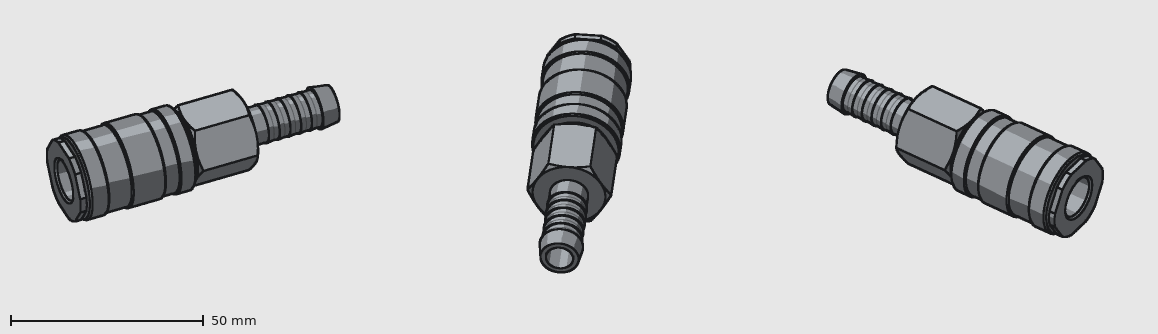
import cadquery as cq
import math

length = 76.0

shank_radius = 5.0
tip_barb_radius = 5.7
tip_barb_length = 4.9
small_barb_radius = 5.25
small_barb_length = 1.5
small_barb_count = 5
small_barb_pitch = 3.05
first_barb_base = 68.1

corner_ratio = 1 / math.cos(math.pi / 6)

nut_across_flats = 19.0
nut_front = 34.0
nut_rear = 51.0
nut_chamfer_angle = 30.0

sleeve_radius = 23.0 / 2
waist_radius = 11.1
bevel_length = sleeve_radius - waist_radius
front_bevel_length = 0.6
sleeve_front = 2.6
sleeve_rear = 32.7
front_band_rear = 8.1
middle_band_front = 14.45
middle_band_rear = 24.2
rear_band_front = 28.0
rear_neck_radius = 8.9
front_neck_radius = 8.0

flange_radius = 11.0
flange_across_flats = 21.0
flange_thickness = 1.75

through_radius = 3.6
socket_radius = 5.55
socket_depth = sleeve_rear
mouth_chamfer = 0.6


def revolve(points):
    """Turn an outline of (radius, y) points about the Y axis."""
    return cq.Workplane("XY").polyline(points).close().revolve(360, (0, 0, 0), (0, 1, 0))


def cylinder(radius, start, end):
    return revolve([(0, start), (radius, start), (radius, end), (0, end)])


def cone(start_radius, end_radius, start, end):
    return revolve([(0, start), (start_radius, start), (end_radius, end), (0, end)])


def hexagon(across_flats, start, end):
    """Hexagonal prism along Y with two flats facing +Z and -Z."""
    return (
        cq.Workplane("XZ", origin=(0, start, 0))
        .polygon(6, across_flats * corner_ratio)
        .extrude(start - end)
    )


def bevelled_band(start, end, start_bevel=bevel_length):
    """Raised band of the sleeve, bevelled down to the waist at both ends."""
    return revolve([
        (0, start),
        (waist_radius, start),
        (sleeve_radius, start + start_bevel),
        (sleeve_radius, end - bevel_length),
        (waist_radius, end),
        (0, end),
    ])


def make_hose_tail():
    tip_barb_base = length - tip_barb_length
    tail = cylinder(shank_radius, nut_rear, tip_barb_base)
    tail = tail.union(cone(tip_barb_radius, shank_radius, tip_barb_base, length))
    for index in range(small_barb_count):
        base = first_barb_base - index * small_barb_pitch
        barb = cone(small_barb_radius, shank_radius, base, base + small_barb_length)
        tail = tail.union(barb)
    return tail


def make_nut():
    face_radius = nut_across_flats / 2
    corner_radius = face_radius * corner_ratio
    chamfer_length = (corner_radius - face_radius) * math.tan(math.radians(nut_chamfer_angle))
    envelope = revolve([
        (0, nut_front),
        (face_radius, nut_front),
        (corner_radius, nut_front + chamfer_length),
        (corner_radius, nut_rear - chamfer_length),
        (face_radius, nut_rear),
        (0, nut_rear),
    ])
    return hexagon(nut_across_flats, nut_front, nut_rear).intersect(envelope)


def make_sleeve():
    sleeve = cylinder(waist_radius, front_band_rear, rear_band_front)
    sleeve = sleeve.union(bevelled_band(sleeve_front, front_band_rear, front_bevel_length))
    sleeve = sleeve.union(bevelled_band(middle_band_front, middle_band_rear))
    sleeve = sleeve.union(bevelled_band(rear_band_front, sleeve_rear))
    sleeve = sleeve.union(cylinder(rear_neck_radius, sleeve_rear, nut_front))
    return sleeve.union(cylinder(front_neck_radius, flange_thickness, sleeve_front))


def make_flange():
    disc = cylinder(flange_radius, 0, flange_thickness)
    return disc.intersect(hexagon(flange_across_flats, 0, flange_thickness))


def make_bore():
    """Through hole, wider socket and bevelled mouth."""
    bore = cylinder(through_radius, 0, length)
    bore = bore.union(cylinder(socket_radius, 0, socket_depth))
    return bore.union(cone(socket_radius + mouth_chamfer, socket_radius, 0, mouth_chamfer))


body = make_flange().union(make_sleeve()).union(make_nut()).union(make_hose_tail())
result = body.cut(make_bore())